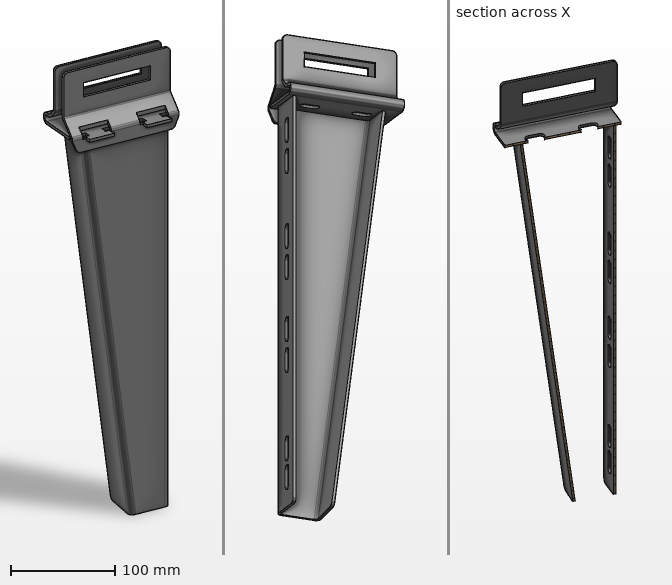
import cadquery as cq
import math

SHEET = 3.0
SHEET_MIDDLE = SHEET / 2
CORNER_RADIUS = 5.0

PLATE_WIDTH = 120.0
PLATE_TOP = 66.0
BRACKET_DEPTH = 63.0
CLAMP_CENTRE_X = -3.5
CLAMP_HALF_SPACING = 8.0
UPPER_BEND_Z = 19.0
UPPER_BEND_RADIUS = 4.0
WINDOW_LENGTH = 75.0
WINDOW_HEIGHT = 15.0
WINDOW_TOP_MARGIN = 15.0
WINDOW_CENTRE_Z = PLATE_TOP - WINDOW_TOP_MARGIN - WINDOW_HEIGHT / 2

HOOK_LEFT = -BRACKET_DEPTH / 2
HOOK_HEIGHT = 12.5
HOOK_BEND_RADIUS = 5.5
BASE_RIGHT = 16.5
BASE_SLOT_LENGTH = 19.5
BASE_SLOT_WIDTH = 9.0
BASE_SLOT_Y = 27.5

TAB_Y = 32.2
TAB_RIGHT = BRACKET_DEPTH / 2
TAB_NECK_WIDTH = 19.0
TAB_HEAD_WIDTH = 28.0
TAB_HEAD_CHAMFER = 2.5

LOCK_FOOT_X = 21.0
LOCK_BOTTOM = -13.0
LOCK_FOOT_INSET = 6.0
LOCK_SLOT_WIDTH = 32.2
LOCK_SLOT_LEFT = 15.5

ARM_LENGTH = 415.0
ARM_RIGHT = 14.5
ARM_BACK_Y = 55.0
ARM_TOP_DEPTH = 99.0
ARM_END_DEPTH = 45.0
BACK_FLANGE_WIDTH = 40.0
SLOPED_FLANGE_WIDTH = 35.5
ARM_BEND_RADIUS = 2 * SHEET
ARM_TAPER = math.atan((ARM_TOP_DEPTH - ARM_END_DEPTH) / ARM_LENGTH)
ARM_SLOT_LENGTH = 25.0
ARM_SLOT_WIDTH = 7.5
ARM_SLOT_EDGE_DISTANCE = 15.0
ARM_SLOT_HEIGHTS = (30.5, 59.5, 149.5, 181.5, 244.5, 276.5, 353.0, 384.5)

FAR = 2 * ARM_LENGTH


def bend(path, corner, before, after, radius):
    """Continue a path to a corner and round it; before and after are headings in degrees."""
    turn = math.radians(abs(after - before))
    setback = radius * math.tan(turn / 2)

    def along(heading, distance):
        angle = math.radians(heading)
        return (corner[0] + distance * math.cos(angle), corner[1] + distance * math.sin(angle))

    return path.lineTo(*along(before, -setback)).tangentArcPoint(along(after, setback), relative=False)


def sheet_along(path, start):
    """Sheet of full plate width whose middle follows an XZ path that starts straight down."""
    section = cq.Workplane("XY", origin=(start[0], 0, start[1])).rect(SHEET, PLATE_WIDTH)
    return section.sweep(path)


def cut_clamp_window(plate, x):
    """Round the upper corners of a clamp plate and cut its hand window."""
    window = cq.Workplane("XY").box(2 * SHEET, WINDOW_LENGTH, WINDOW_HEIGHT)
    plate = plate.edges("|X").edges(">Z").fillet(CORNER_RADIUS)
    return plate.cut(window.translate((x, 0, WINDOW_CENTRE_Z)))


def make_tab(y):
    """T-shaped tab at y: its neck leaves the base edge and its head bears on the locking plate's foot."""
    head_left = LOCK_FOOT_X + SHEET_MIDDLE
    head_length = TAB_RIGHT - head_left
    neck_length = head_left - BASE_RIGHT
    neck = cq.Workplane("XY").box(neck_length, TAB_NECK_WIDTH, SHEET, centered=(False, True, False))
    head = cq.Workplane("XY").box(head_length, TAB_HEAD_WIDTH, SHEET, centered=(False, True, False))
    head = head.edges("|Z and <X").chamfer(TAB_HEAD_CHAMFER)
    return neck.translate((BASE_RIGHT, y, 0)).union(head.translate((head_left, y, 0)))


def make_hook_plate():
    """Clamp plate that turns back under itself to form the base and its two tabs."""
    x = CLAMP_CENTRE_X - CLAMP_HALF_SPACING
    ledge_z = HOOK_HEIGHT - SHEET_MIDDLE
    loop_radius = (HOOK_HEIGHT - SHEET) / 2
    loop_x = HOOK_LEFT + HOOK_HEIGHT / 2
    start = (x, PLATE_TOP)
    ledge_corner = (x - (UPPER_BEND_Z - ledge_z), ledge_z)

    path = cq.Workplane("XZ").moveTo(*start)
    path = bend(path, (x, UPPER_BEND_Z), 270, 225, UPPER_BEND_RADIUS)
    path = bend(path, ledge_corner, 225, 180, HOOK_BEND_RADIUS)
    path = path.lineTo(loop_x, ledge_z)
    path = path.threePointArc((loop_x - loop_radius, HOOK_HEIGHT / 2), (loop_x, SHEET_MIDDLE))
    path = path.lineTo(BASE_RIGHT, SHEET_MIDDLE)

    plate = cut_clamp_window(sheet_along(path, start), x)
    slots = (
        cq.Workplane("XY")
        .pushPoints([(CLAMP_CENTRE_X, -BASE_SLOT_Y), (CLAMP_CENTRE_X, BASE_SLOT_Y)])
        .slot2D(BASE_SLOT_LENGTH, BASE_SLOT_WIDTH, 90)
        .extrude(SHEET)
    )
    plate = plate.cut(slots)
    for y in (-TAB_Y, TAB_Y):
        plate = plate.union(make_tab(y))
    return plate


def make_locking_plate():
    """Clamp plate that slopes outwards to a foot, slotted for the hook plate's tabs."""
    x = CLAMP_CENTRE_X + CLAMP_HALF_SPACING
    start = (x, PLATE_TOP)
    foot_corner = (LOCK_FOOT_X, UPPER_BEND_Z - (LOCK_FOOT_X - x))

    path = cq.Workplane("XZ").moveTo(*start)
    path = bend(path, (x, UPPER_BEND_Z), 270, 315, UPPER_BEND_RADIUS)
    path = bend(path, foot_corner, 315, 270, UPPER_BEND_RADIUS)
    path = path.lineTo(LOCK_FOOT_X, LOCK_BOTTOM)

    plate = cut_clamp_window(sheet_along(path, start), x)
    half_width = PLATE_WIDTH / 2
    side_trim = (
        cq.Workplane("YZ")
        .polyline([(half_width, 0), (half_width, LOCK_BOTTOM), (half_width - LOCK_FOOT_INSET, LOCK_BOTTOM)])
        .close()
        .extrude(2 * LOCK_FOOT_X)
    )
    plate = plate.cut(side_trim).cut(side_trim.mirror("XZ"))
    plate = plate.edges("|X").edges("<Z").fillet(CORNER_RADIUS)
    slot = cq.Workplane("XY").box(
        LOCK_FOOT_X, LOCK_SLOT_WIDTH, UPPER_BEND_Z, centered=(False, True, False)
    )
    for y in (-TAB_Y, TAB_Y):
        plate = plate.cut(slot.translate((LOCK_SLOT_LEFT, y, 0)))
    return plate


def tapered_block(wall, right, bend_radius):
    """Tapered block inset by wall from the arm's back and slope; it runs past the arm's lower end."""
    overrun = ARM_BEND_RADIUS
    slope_inset = wall / math.cos(ARM_TAPER)
    back_y = ARM_BACK_Y - wall
    slope_top_y = ARM_BACK_Y - ARM_TOP_DEPTH + slope_inset
    bottom = -ARM_LENGTH - overrun
    slope_bottom_y = slope_top_y - bottom * math.tan(ARM_TAPER)
    outline = [(back_y, 0), (back_y, bottom), (slope_bottom_y, bottom), (slope_top_y, 0)]
    block = cq.Workplane("YZ", origin=(right, 0, 0)).polyline(outline).close().extrude(-BACK_FLANGE_WIDTH)
    bend_edges = block.faces(">X").edges("not(|Y)")
    return bend_edges.fillet(bend_radius)


def slope_trim(end_y):
    """Cutter that narrows the sloped flange and trims its end, drawn in the flange's own plane.

    The end line rises towards the free edge by the taper angle, starting where the bend begins.
    """
    slope_normal = (0, math.cos(ARM_TAPER), math.sin(ARM_TAPER))
    plane = cq.Plane(origin=(ARM_RIGHT, end_y, -ARM_LENGTH), xDir=(-1, 0, 0), normal=slope_normal)
    rise = SLOPED_FLANGE_WIDTH * math.tan(ARM_TAPER)
    outline = [
        (0, 0),
        (SLOPED_FLANGE_WIDTH, rise),
        (SLOPED_FLANGE_WIDTH, FAR),
        (2 * SLOPED_FLANGE_WIDTH, FAR),
        (2 * SLOPED_FLANGE_WIDTH, -SLOPED_FLANGE_WIDTH),
        (0, -SLOPED_FLANGE_WIDTH),
    ]
    return cq.Workplane(plane).polyline(outline).close().extrude(-2 * ARM_BEND_RADIUS)


def make_arm():
    """Tapering channel: web on +X, upright slotted back flange on +Y, sloped flange on -Y."""
    arm = tapered_block(0, ARM_RIGHT, ARM_BEND_RADIUS)
    arm = arm.cut(tapered_block(SHEET, ARM_RIGHT - SHEET, ARM_BEND_RADIUS - SHEET))

    bend_start_y = ARM_BACK_Y - ARM_END_DEPTH + ARM_BEND_RADIUS / math.cos(ARM_TAPER)
    level_trim = cq.Workplane("XY").box(FAR, ARM_END_DEPTH, FAR, centered=(True, False, False))
    arm = arm.cut(level_trim.translate((0, bend_start_y, -ARM_LENGTH - FAR)))
    arm = arm.cut(slope_trim(bend_start_y))

    across_slope = cq.selectors.ParallelDirSelector(cq.Vector(0, math.cos(ARM_TAPER), math.sin(ARM_TAPER)))
    arm = arm.edges("|Y").edges("<X").edges("<Z").fillet(CORNER_RADIUS)
    arm = arm.edges(across_slope).edges("<X").edges("<Z").fillet(CORNER_RADIUS)

    slot_x = ARM_RIGHT - BACK_FLANGE_WIDTH + ARM_SLOT_EDGE_DISTANCE
    slots = (
        cq.Workplane("XZ", origin=(slot_x, ARM_BACK_Y, -ARM_LENGTH))
        .pushPoints([(0, height) for height in ARM_SLOT_HEIGHTS])
        .slot2D(ARM_SLOT_LENGTH, ARM_SLOT_WIDTH, 90)
        .extrude(SHEET)
    )
    return arm.cut(slots)


hook_plate = make_hook_plate()
locking_plate = make_locking_plate()
arm = make_arm()
result = cq.Compound.makeCompound([hook_plate.val(), locking_plate.val(), arm.val()])